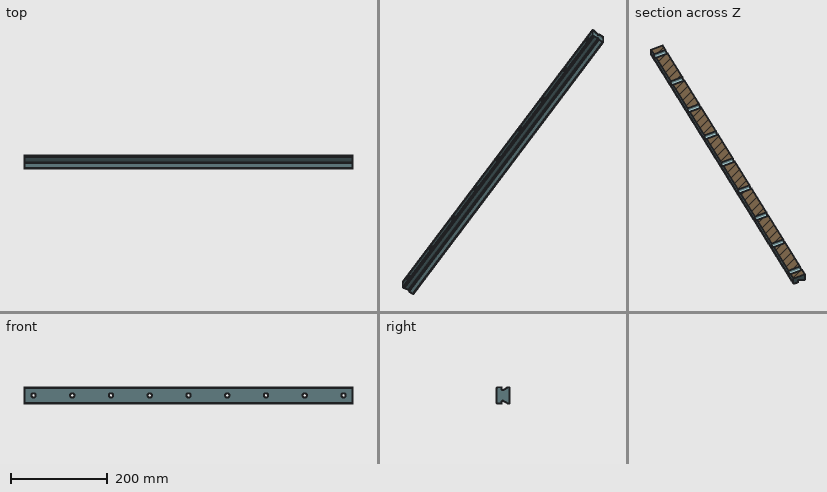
import cadquery as cq

length = 680.0
depth = 27.0
height = 34.0

front_chamfer = 2.0
back_chamfer = 1.0
groove_front_y = -3.0
groove_back_y = 9.5
groove_floor_y = -1.0
groove_depth = 6.0
front_wall_height = 4.0
groove_chamfer = 1.0

hole_count = 9
hole_pitch = 80.0
hole_diameter = 9.0


def upper_outline():
    """Upper half of the cross-section as (y, z) points, from front to back."""
    top = height / 2
    front = -depth / 2
    back = depth / 2
    return [
        (front, top - front_chamfer),
        (front + front_chamfer, top),
        (groove_front_y, top),
        (groove_front_y, top - front_wall_height),
        (groove_floor_y, top - groove_depth),
        (groove_back_y - groove_chamfer, top - groove_chamfer),
        (groove_back_y, top),
        (back - back_chamfer, top),
        (back, top - back_chamfer),
    ]


def make_rail():
    """Extrude the section, which is symmetric about mid-height, along X."""
    upper = upper_outline()
    lower = [(y, -z) for y, z in reversed(upper)]
    section = cq.Workplane("YZ").polyline(upper + lower).close()
    return section.extrude(length / 2, both=True)


def make_mounting_holes():
    """Row of cylinders along Y, evenly spaced about the rail's middle."""
    return (
        cq.Workplane("XZ")
        .rarray(hole_pitch, 7, hole_count, 1)
        .circle(hole_diameter / 2)
        .extrude(depth, both=True)
    )


result = make_rail().cut(make_mounting_holes())